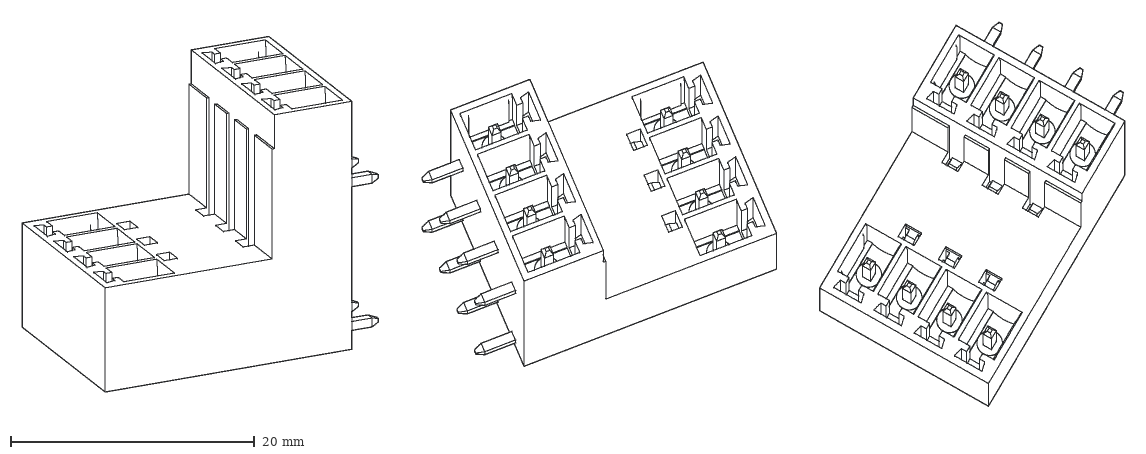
import cadquery as cq
import math

width = 16.02
height = 21.9
housing_depth = 22.4
overall_depth = 25.8
tier_step = 12.7
front_tier_height = height - tier_step
rear_tier_front = 15.35

column_count = 4
pitch = 3.82
column_xs = [(i - (column_count - 1) / 2) * pitch for i in range(column_count)]
gap_xs = [(i - (column_count - 2) / 2) * pitch for i in range(column_count - 1)]
front_row_y = 4.15
row_spacing = 15.25
rows = [(front_row_y, front_tier_height), (front_row_y + row_spacing, height)]

panel_thickness = 0.2
panel_top = 18.9
groove_width = 1.52

socket_width = 3.4
socket_back = 2.4
socket_front = -2.2
socket_length = socket_back - socket_front
socket_depth = 6.45
wall_lead_in = 0.15
lead_in_depth = 0.9
lead_in_slope = wall_lead_in / lead_in_depth
pad_extra = 0.1
pad_back = 1.7
pad_front = -1.85
pad_sides = [-1] + [0] * (column_count - 2) + [1]
channel_width = 2.1
channel_drop = 0.2
seat_diameter = 2.1
seat_drop = 0.08
bulge_height = 0.13
bulge_chamfer_depth = 1.14

coding_depth = 5.15
coding_neck_width = 1.2
coding_back_width = 2.22
coding_front_width = 2.63
coding_back = -2.73
coding_front = -3.53

latch_length = 1.2
front_latch_y = 6.97
latch_mirror_y = (front_latch_y + rear_tier_front) / 2
tongue_depth = 1.55
tongue_top_width = 0.8
tongue_draft = 4.6
ramp_length = 0.72
ramp_angle = 50.0
ledge_drop = 1.99
ledge_length = 0.8
undercut_depth = 0.72
undercut_reach = 0.52

pin_size = 0.8
pin_tip_size = 0.3
pin_taper = 0.7
pin_tip_depth = 1.45
pin_leg_depth = 7.97


def box(x0, x1, y0, y1, z0, z1):
    """Block between two opposite corners."""
    return cq.Workplane("XY").box(x1 - x0, y1 - y0, z1 - z0, centered=False).translate((x0, y0, z0))


def make_shell():
    """Stepped block with raised panels between vertical grooves."""
    half = width / 2
    shell = box(-half, half, 0, housing_depth, 0, front_tier_height)
    shell = shell.union(box(-half, half, rear_tier_front, housing_depth, 0, height))
    panels = box(
        -half, half, rear_tier_front - panel_thickness, rear_tier_front, front_tier_height, panel_top
    )
    for x in gap_xs:
        panels = panels.cut(
            box(
                x - groove_width / 2, x + groove_width / 2,
                rear_tier_front - panel_thickness, rear_tier_front,
                front_tier_height, panel_top,
            )
        )
    return shell.union(panels)


def make_bulge():
    """Curved rear-wall bulge with a sloping top, relative to the contact axis and tier top."""
    half = channel_width / 2
    crest = socket_back - bulge_height
    bulge = (
        cq.Workplane("XY")
        .moveTo(-half, socket_back)
        .threePointArc((0, crest), (half, socket_back))
        .close()
        .extrude(-socket_depth)
    )
    top_cut = (
        cq.Workplane("YZ")
        .polyline([(socket_back, 0), (crest, 0), (crest, -bulge_chamfer_depth)])
        .close()
        .extrude(half, both=True)
    )
    return bulge.cut(top_cut)


def make_side_pad(side):
    """Extra thickness low on the outermost wall; side is -1 for the -X wall and +1 for the +X wall."""
    lower_wall = socket_width / 2 - wall_lead_in
    pad_wall = lower_wall - pad_extra
    pad_top = -(wall_lead_in + pad_extra) / lead_in_slope
    return (
        cq.Workplane("XZ", origin=(0, pad_back, 0))
        .polyline([
            (side * lower_wall, -lead_in_depth),
            (side * pad_wall, pad_top),
            (side * pad_wall, -socket_depth),
            (side * lower_wall, -socket_depth),
        ])
        .close()
        .extrude(pad_back - pad_front)
    )


def make_socket(pad_side):
    """Socket cavity, relative to the contact axis and tier top; pad_side is 0 for no side pad."""
    mouth = socket_width / 2
    lower = mouth - wall_lead_in
    half_channel = channel_width / 2
    side_floor = -socket_depth + channel_drop
    socket = (
        cq.Workplane("XZ", origin=(0, socket_back, 0))
        .polyline([
            (-mouth, 0),
            (-lower, -lead_in_depth),
            (-lower, side_floor),
            (-half_channel, side_floor),
            (-half_channel, -socket_depth),
            (half_channel, -socket_depth),
            (half_channel, side_floor),
            (lower, side_floor),
            (lower, -lead_in_depth),
            (mouth, 0),
        ])
        .close()
        .extrude(socket_length)
    )
    socket = socket.cut(make_bulge())
    if pad_side:
        socket = socket.cut(make_side_pad(pad_side))
    seat = cq.Workplane("XY").circle(seat_diameter / 2).extrude(-seat_drop)
    return socket.union(seat.translate((0, 0, -socket_depth)))


def make_coding_slot():
    """Dovetail-shaped slot opening into the front of the socket."""
    neck = coding_neck_width / 2
    back = coding_back_width / 2
    front = coding_front_width / 2
    return (
        cq.Workplane("XY")
        .polyline([
            (-neck, socket_front),
            (-neck, coding_back),
            (-back, coding_back),
            (-front, coding_front),
            (front, coding_front),
            (back, coding_back),
            (neck, coding_back),
            (neck, socket_front),
        ])
        .close()
        .extrude(-coding_depth)
    )


def make_latch_slot():
    """Front latch slot at X = 0, with a tapered tongue, a ramp and two side ledges inside."""
    half = groove_width / 2
    tongue_half = tongue_top_width / 2
    back_y = front_latch_y + latch_length
    top = front_tier_height
    tongue_top = top - tongue_depth
    floor = tongue_top - (half - tongue_half) / math.tan(math.radians(tongue_draft))
    ramp_drop = ramp_length * math.tan(math.radians(ramp_angle))

    slot = box(-half, half, front_latch_y, back_y, floor, top)
    tongue = (
        cq.Workplane("XZ", origin=(0, back_y, 0))
        .polyline([(-half, floor), (-tongue_half, tongue_top), (tongue_half, tongue_top), (half, floor)])
        .close()
        .extrude(latch_length)
    )
    ramp_cut = (
        cq.Workplane("YZ")
        .polyline([
            (front_latch_y, tongue_top),
            (front_latch_y + ramp_length, tongue_top),
            (front_latch_y, tongue_top - ramp_drop),
        ])
        .close()
        .extrude(half, both=True)
    )
    ledges = box(-half, half, front_latch_y, front_latch_y + ledge_length, floor, tongue_top - ledge_drop)
    undercut = box(-half, half, back_y, back_y + undercut_reach, tongue_top, top - undercut_depth)
    return slot.cut(tongue.cut(ramp_cut)).cut(ledges).union(undercut)


def make_bar(length):
    """Square bar along +Z from Z = 0, with a tapered end."""
    shoulder = length - pin_taper
    shank = cq.Workplane("XY").rect(pin_size, pin_size).extrude(shoulder)
    tip = (
        cq.Workplane("XY", origin=(0, 0, shoulder))
        .rect(pin_size, pin_size)
        .workplane(offset=pin_taper)
        .rect(pin_tip_size, pin_tip_size)
        .loft()
    )
    return shank.union(tip)


def make_pin(x, y, tier_top):
    """L-shaped pin: an upright contact in the socket and a leg out of the rear face."""
    half = pin_size / 2
    leg_z = tier_top - pin_leg_depth
    contact = make_bar(pin_leg_depth - pin_tip_depth + half).translate((x, y, leg_z - half))
    leg = make_bar(overall_depth - y + half).rotate((0, 0, 0), (1, 0, 0), -90)
    return contact.union(leg.translate((x, y - half, leg_z)))


def make_housing(pins):
    """Shell with its sockets, coding slots and latch slots, and a matching hole for every pin."""
    housing = make_shell()
    coding_slot = make_coding_slot()
    for y, tier_top in rows:
        for x, pad_side in zip(column_xs, pad_sides):
            housing = housing.cut(make_socket(pad_side).translate((x, y, tier_top)))
            housing = housing.cut(coding_slot.translate((x, y, tier_top)))
    front_latch = make_latch_slot()
    rear_latch = front_latch.mirror("XZ", (0, latch_mirror_y, 0))
    for x in gap_xs:
        housing = housing.cut(front_latch.translate((x, 0, 0)))
        housing = housing.cut(rear_latch.translate((x, 0, 0)))
    for pin in pins:
        housing = housing.cut(pin)
    return housing


pins = [make_pin(x, y, tier_top) for y, tier_top in rows for x in column_xs]
housing = make_housing(pins)
result = cq.Compound.makeCompound([housing.solids().val(), *[pin.solids().val() for pin in pins]])